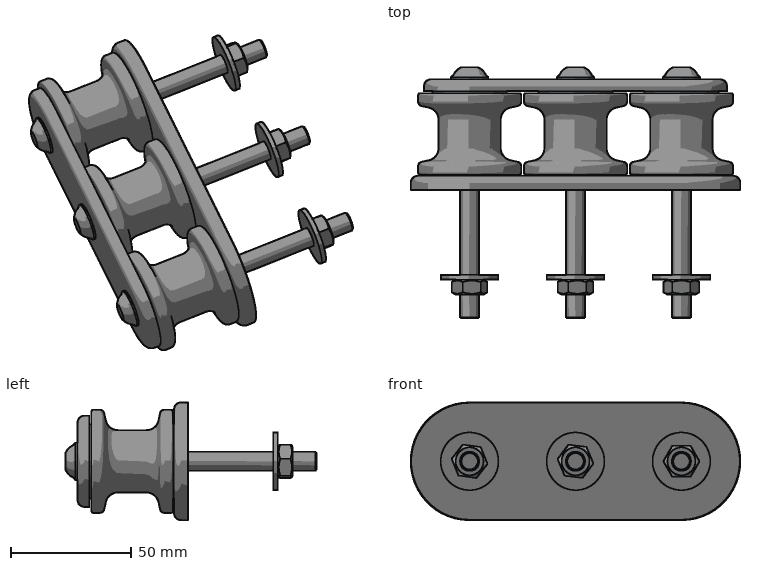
import cadquery as cq
import math

PITCH = 44.0
BOLT_X = (-PITCH, 0.0, PITCH)
NUT_TURNS = (8.0, 7.0, 0.0)

BASE_WIDTH = 49.0
BASE_THICKNESS = 6.0
COVER_WIDTH = 38.0
COVER_THICKNESS = 5.0
PLATE_FILLET = 3.0
BASE_EDGE_CHAMFER = 0.25

ROLLER_DIAMETER = 43.0
CORE_DIAMETER = 26.0
ROLLER_WIDTH = 34.0
CORE_LENGTH = 12.0
COVE_RADIUS = 5.0
RIM_FILLET = 2.0
RIM_EDGE_FILLET = 1.0
RIM_BAND = 2.5
COLLAR_DIAMETER = 31.0
BASE_COLLAR_LENGTH = 0.35
COVER_COLLAR_LENGTH = 0.75

BOLT_DIAMETER = 8.0
BOLT_END_CHAMFER = 0.6
BOLT_PROJECTION = 53.3
HEAD_DIAMETER = 15.6
HEAD_HEIGHT = 5.0
HEAD_RIM = 0.8
HEAD_CONE_HEIGHT = 1.8
HEAD_DOME_DIAMETER = 13.5
HEAD_TOP_DIAMETER = 7.0
HEAD_DOME_RADIUS = 6.5

WASHER_DIAMETER = 24.0
WASHER_THICKNESS = 2.0
WASHER_GAP = 35.2
NUT_WIDTH = 13.0
NUT_HEIGHT = 6.2
NUT_FACE_DIAMETER = 11.6
NUT_CHAMFER_ANGLE = 30.0

roller_start = BASE_THICKNESS + BASE_COLLAR_LENGTH
roller_middle = roller_start + ROLLER_WIDTH / 2
roller_end = roller_start + ROLLER_WIDTH
cover_start = roller_end + COVER_COLLAR_LENGTH
cover_end = cover_start + COVER_THICKNESS
washer_end = -WASHER_GAP - WASHER_THICKNESS
nut_end = washer_end - NUT_HEIGHT


def cylinder(diameter, y_start, y_end):
    """Cylinder about the Y axis."""
    disc = cq.Workplane("XZ", origin=(0, y_start, 0)).circle(diameter / 2)
    return disc.extrude(y_start - y_end)


def revolve_about_y(profile):
    return profile.close().revolve(360, (0, 0, 0), (0, 1, 0))


def plate(width, y_start, thickness):
    """Round-ended plate with its +Y edge rounded."""
    length = BOLT_X[-1] - BOLT_X[0] + width
    blank = cq.Workplane("XZ", origin=(0, y_start, 0)).slot2D(length, width).extrude(-thickness)
    return blank.faces(">Y").edges().fillet(PLATE_FILLET)


def half_roller():
    """Half of a roller, from its mid-plane at Y = 0 to its outer face."""
    core_radius = CORE_DIAMETER / 2
    rim_radius = ROLLER_DIAMETER / 2
    half_width = ROLLER_WIDTH / 2
    band_end = half_width - RIM_EDGE_FILLET
    band_start = band_end - RIM_BAND
    cove_x = core_radius + COVE_RADIUS
    cove_y = CORE_LENGTH / 2
    rim_x = rim_radius - RIM_FILLET

    center_x = rim_x - cove_x
    center_y = band_start - cove_y
    spread = math.acos((COVE_RADIUS + RIM_FILLET) / math.hypot(center_x, center_y))
    normal = math.atan2(center_y, center_x) + spread
    cove_mid = (math.pi + normal) / 2
    rim_mid = (normal - math.pi) / 2

    def on_cove(angle):
        return cove_x + COVE_RADIUS * math.cos(angle), cove_y + COVE_RADIUS * math.sin(angle)

    def on_rim(angle):
        return rim_x + RIM_FILLET * math.cos(angle), band_start + RIM_FILLET * math.sin(angle)

    profile = (
        cq.Workplane("XY")
        .lineTo(core_radius, 0)
        .lineTo(core_radius, cove_y)
        .threePointArc(on_cove(cove_mid), on_cove(normal))
        .lineTo(*on_rim(normal - math.pi))
        .threePointArc(on_rim(rim_mid), (rim_radius, band_start))
        .lineTo(rim_radius, band_end)
        .radiusArc((rim_radius - RIM_EDGE_FILLET, half_width), -RIM_EDGE_FILLET)
        .lineTo(0, half_width)
    )
    return revolve_about_y(profile)


def roller():
    """Roller with the collars that hold it clear of both plates."""
    half = half_roller()
    body = half.union(half.mirror("XZ")).translate((0, roller_middle, 0))
    body = body.union(cylinder(COLLAR_DIAMETER, BASE_THICKNESS, roller_start))
    return body.union(cylinder(COLLAR_DIAMETER, roller_end, cover_start))


def bolt():
    """Shank with a chamfered tip and a domed head on the cover plate."""
    shank = cylinder(BOLT_DIAMETER, -BOLT_PROJECTION, cover_end)
    shank = shank.faces("<Y").chamfer(BOLT_END_CHAMFER)
    head_radius = HEAD_DIAMETER / 2
    head_profile = (
        cq.Workplane("XY", origin=(0, cover_end, 0))
        .lineTo(head_radius, 0)
        .lineTo(head_radius, HEAD_RIM)
        .lineTo(HEAD_DOME_DIAMETER / 2, HEAD_CONE_HEIGHT)
        .radiusArc((HEAD_TOP_DIAMETER / 2, HEAD_HEIGHT), -HEAD_DOME_RADIUS)
        .lineTo(0, HEAD_HEIGHT)
    )
    return shank.union(revolve_about_y(head_profile))


def nut(turn):
    """Hexagon nut with conical chamfers on both faces, turned about the bolt."""
    corner_diameter = NUT_WIDTH / math.cos(math.pi / 6)
    hexagon = cq.Workplane("XZ", origin=(0, washer_end, 0)).polygon(6, corner_diameter).extrude(NUT_HEIGHT)
    face_radius = NUT_FACE_DIAMETER / 2
    corner_radius = corner_diameter / 2
    cone_depth = (corner_radius - face_radius) * math.tan(math.radians(NUT_CHAMFER_ANGLE))
    envelope = (
        cq.Workplane("XY")
        .moveTo(0, nut_end)
        .lineTo(face_radius, nut_end)
        .lineTo(corner_radius, nut_end + cone_depth)
        .lineTo(corner_radius, washer_end - cone_depth)
        .lineTo(face_radius, washer_end)
        .lineTo(0, washer_end)
    )
    return hexagon.intersect(revolve_about_y(envelope)).rotate((0, 0, 0), (0, 1, 0), turn)


washer = cylinder(WASHER_DIAMETER, washer_end, -WASHER_GAP)
pulley = roller().union(bolt()).union(washer)

base_plate = plate(BASE_WIDTH, 0, BASE_THICKNESS).faces("<Y").chamfer(BASE_EDGE_CHAMFER)
cover_plate = plate(COVER_WIDTH, cover_start, COVER_THICKNESS)
result = base_plate.union(cover_plate)
for bolt_x, nut_turn in zip(BOLT_X, NUT_TURNS):
    result = result.union(pulley.union(nut(nut_turn)).translate((bolt_x, 0, 0)))